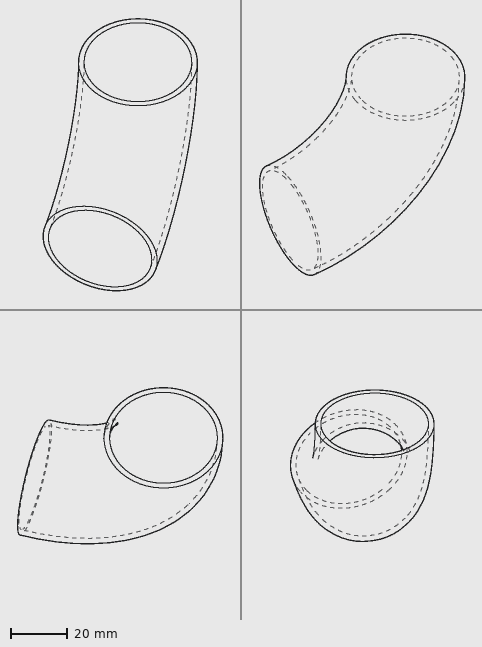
import cadquery as cq

overall_reach = 69.2
outer_diameter = 42.4
wall_thickness = 2.0
bend_angle = 90.0

outer_radius = outer_diameter / 2
inner_radius = outer_radius - wall_thickness
bend_radius = overall_reach - outer_radius

result = (
    cq.Workplane("XZ")
    .center(0, -bend_radius)
    .circle(outer_radius)
    .circle(inner_radius)
    .revolve(bend_angle, (0, bend_radius), (1, bend_radius))
)